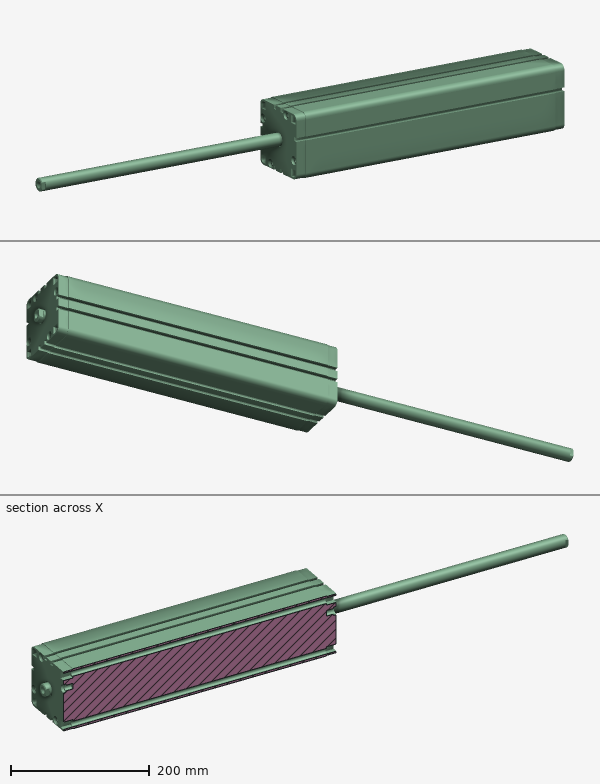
import cadquery as cq

rod_length = 872.0
body_width = 100.0
cap_width = 98.5
body_corner_radius = 10.0
flat_side_half = body_width / 2 - body_corner_radius

rod_stickout = 10.0
housing_length = 455.0
cap_length = 16.0
rear_face = rod_length / 2 - rod_stickout
front_face = rear_face - housing_length
body_length = housing_length - 2 * cap_length

groove_width = 5.7
groove_depth = 7.0
groove_spacing = 18.0
single_groove_offset = 12.0

pocket_inner = 35.0
cap_wall = 3.05
corner_hole_place = 42.0
corner_hole_diameter = 8.4

screw_near = 21.0
screw_far = 42.0
head_diameter = 13.0
head_depth = 4.0
screw_diameter = 8.55

rod_diameter = 20.0
rod_clearance_diameter = 22.0
rod_chamfer = 1.3
flat_length = 6.0
flat_distance = 17.0
center_diameter = 10.5
center_depth = 9.0

CORNERS = [(sx, sz) for sx in (-1, 1) for sz in (-1, 1)]


def plane_at(y):
    """Workplane across Y at the given y, facing +Y, with local x = X and local y = -Z."""
    return cq.Workplane(cq.Plane(origin=(0, y, 0), xDir=(1, 0, 0), normal=(0, 1, 0)))


def rounded_bar(width, y_start, length):
    """Square bar along Y whose long edges are rounded down to the flat sides."""
    bar = plane_at(y_start).rect(width, width).extrude(length)
    return bar.edges("|Y").fillet(width / 2 - flat_side_half)


def round_bar(diameter, y_start, length, x=0.0, z=0.0):
    """Cylinder along Y with its axis at (x, z)."""
    return plane_at(y_start).center(x, -z).circle(diameter / 2).extrude(length)


def groove(offset, angle):
    """Cutter for a groove of the +X side, turned about Y by the given angle."""
    cutter = cq.Workplane("XY").box(2 * groove_depth, rod_length, groove_width)
    cutter = cutter.translate((body_width / 2, 0, offset))
    return cutter.rotate((0, 0, 0), (0, 1, 0), angle)


def corner_pocket(side_x, side_z, y_start):
    """Cutter for a cap pocket whose outer corner runs parallel to the cap corner."""
    outer = cap_width / 2 - cap_wall
    size = outer - pocket_inner
    middle = (outer + pocket_inner) / 2
    pocket = cq.Workplane("XY").box(size, cap_length, size)
    pocket = pocket.edges("|Y and >X and >Z").fillet(outer - flat_side_half)
    pocket = pocket.translate((middle, y_start + cap_length / 2, middle))
    if side_x < 0:
        pocket = pocket.mirror("YZ")
    if side_z < 0:
        pocket = pocket.mirror("XY")
    return pocket


def screw_hole(x, z, y_start, head_start):
    """Cutter for one counterbored hole through a cap."""
    shank = round_bar(screw_diameter, y_start, cap_length, x, z)
    return shank.union(round_bar(head_diameter, head_start, head_depth, x, z))


def end_cap(y_start, head_start):
    """Cap with corner pockets, four screw holes and a clearance hole for the rod."""
    cap = rounded_bar(cap_width, y_start, cap_length)
    for side_x, side_z in CORNERS:
        cap = cap.cut(corner_pocket(side_x, side_z, y_start))
    x, z = screw_near, screw_far
    for _ in range(4):
        cap = cap.cut(screw_hole(x, z, y_start, head_start))
        x, z = z, -x
    return cap.cut(round_bar(rod_clearance_diameter, y_start, cap_length))


def rod():
    """Chamfered rod with two wrench flats and a conical center hole at each end."""
    bar = round_bar(rod_diameter, -rod_length / 2, rod_length)
    bar = bar.faces("<Y or >Y").chamfer(rod_chamfer)
    cone = cq.Workplane(cq.Solid.makeCone(
        center_diameter / 2, 0, center_depth, pnt=(0, -rod_length / 2, 0), dir=(0, 1, 0)))
    front_end = cone
    for side in (-1, 1):
        flat = cq.Workplane("XY").box(rod_diameter, flat_length, rod_diameter)
        flat = flat.translate((
            side * (flat_distance + rod_diameter) / 2, (flat_length - rod_length) / 2, 0))
        front_end = front_end.union(flat)
    return bar.cut(front_end).cut(front_end.mirror("XZ"))


body = rounded_bar(body_width, front_face + cap_length, body_length)
for side_x, side_z in CORNERS:
    body = body.cut(round_bar(
        corner_hole_diameter, front_face, housing_length,
        side_x * corner_hole_place, side_z * corner_hole_place))

front_cap = end_cap(front_face, front_face)
rear_cap = end_cap(rear_face - cap_length, rear_face - head_depth)
housing = body.union(front_cap).union(rear_cap)

for angle in (90, 180, 270):
    for offset in (-groove_spacing / 2, groove_spacing / 2):
        housing = housing.cut(groove(offset, angle))
housing = housing.cut(groove(single_groove_offset, 0))

result = housing.union(rod())